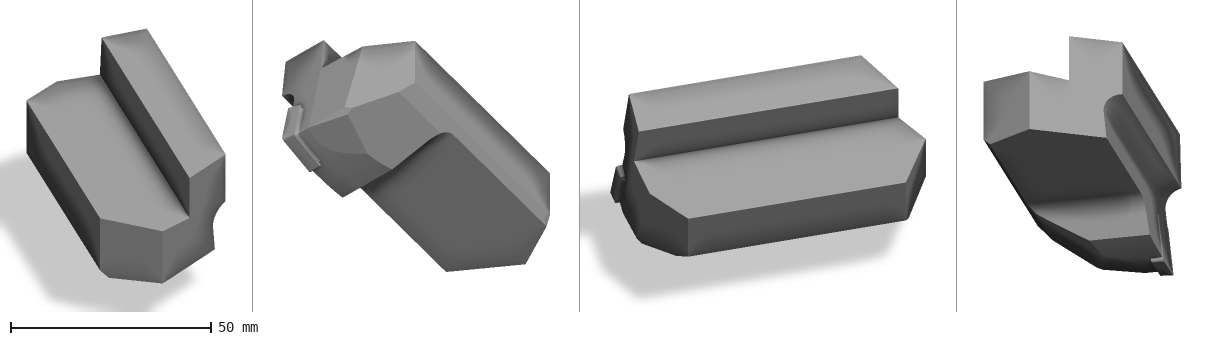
import cadquery as cq
import math


def tan_deg(angle):
    return math.tan(math.radians(angle))


def sin_deg(angle):
    return math.sin(math.radians(angle))


def cos_deg(angle):
    return math.cos(math.radians(angle))



body_depth = 34.67
rail_width = 12.0
rail_height = 12.0
shelf_angle = 8.0
front_face_bottom = -24.55
edge_chamfer = 3.4
underside_angle = 30.0

gullet_radius = 5.0
rake_angle = 5.0
gullet_tangent_y = -4.2
gullet_tangent_z = -19.5

rear_right_x = 59.2
right_tip_y = -20.9
right_end_angle = 30.0
front_left_x = 7.85
left_front_angle = 35.0

left_lean_angle = 6.0
shank_bottom = -26.5
head_bottom = -36.2
head_bottom_x = 9.0
head_bottom_radius = 70.0
head_bottom_slope = 7.0
head_right_x = 22.65
head_wall_angle = 18.0
head_root_radius = 5.0
outline_margin = 10.0

relief_corner = cq.Vector(-3.62, -10.5, -35.07)
shelf_relief_y = -23.95
nose_normal = cq.Vector(-0.675, -0.245, -0.70)
underside_rise_x = -tan_deg(6.8)
underside_rise_y = -tan_deg(6.0)
relief_block = 60.0

insert_side = 12.7
insert_corner_radius = 0.8
insert_thickness = 3.2
insert_clearance = 7.0
insert_step = 0.45
insert_back_thickness = 1.0
insert_back_taper = 40.0
insert_turn = 6.0
insert_swing = 2.2
insert_corner = (-5.49, -3.0, -35.97)
seat_opening = 2.0


def cross_section():
    """Body cross-section in YZ with the gullet cut into its rear, extruded along X."""
    shelf_front_z = -rail_height + (body_depth - rail_width) * tan_deg(shelf_angle)
    slope_start_y = -body_depth + edge_chamfer
    slope_start_z = front_face_bottom - edge_chamfer
    floor_z = head_bottom - outline_margin / 2
    slope_end_y = slope_start_y + (slope_start_z - floor_z) / tan_deg(underside_angle)
    rake_end_y = gullet_tangent_y + (gullet_tangent_z - floor_z) * tan_deg(rake_angle)

    centre_y = gullet_tangent_y + gullet_radius * cos_deg(rake_angle)
    centre_z = gullet_tangent_z + gullet_radius * sin_deg(rake_angle)
    gullet_top_z = centre_z + math.sqrt(gullet_radius**2 - centre_y**2)
    diagonal = gullet_radius * math.sqrt(0.5)

    return (
        cq.Workplane("YZ", origin=(-outline_margin, 0, 0))
        .moveTo(0, 0)
        .lineTo(-rail_width, 0)
        .lineTo(-rail_width, -rail_height)
        .lineTo(-body_depth, shelf_front_z)
        .lineTo(-body_depth, front_face_bottom)
        .lineTo(slope_start_y, slope_start_z)
        .lineTo(slope_end_y, floor_z)
        .lineTo(rake_end_y, floor_z)
        .lineTo(gullet_tangent_y, gullet_tangent_z)
        .threePointArc((centre_y - diagonal, centre_z + diagonal), (0, gullet_top_z))
        .close()
        .extrude(rear_right_x + 3 * outline_margin)
    )


def plan_outline():
    """Outline in XY: pointed right end and slanted front part of the left end."""
    tip_x = rear_right_x - right_tip_y * tan_deg(right_end_angle)
    front_right_x = tip_x - (body_depth + right_tip_y) * tan_deg(right_end_angle)
    slant_end_y = -body_depth + (front_left_x + outline_margin) / tan_deg(left_front_angle)
    return (
        cq.Workplane("XY", origin=(0, 0, head_bottom - outline_margin))
        .polyline([
            (-outline_margin, 0),
            (rear_right_x, 0),
            (tip_x, right_tip_y),
            (front_right_x, -body_depth),
            (front_left_x, -body_depth),
            (-outline_margin, slant_end_y),
        ])
        .close()
        .extrude(outline_margin - head_bottom)
    )


def side_outline():
    """Outline in XZ: leaning left end, crowned head and shank bottom."""
    far_x = rear_right_x + 2 * outline_margin
    lean = tan_deg(left_lean_angle)
    slope = tan_deg(head_bottom_slope)
    crown_centre_z = head_bottom + head_bottom_radius

    crown_left_x = head_bottom_x - head_bottom_radius * sin_deg(head_bottom_slope)
    crown_left_z = crown_centre_z - head_bottom_radius * cos_deg(head_bottom_slope)
    corner_z = (crown_left_z + slope * crown_left_x) / (1 + slope * lean)
    corner_x = lean * corner_z

    wall_x_slope = tan_deg(head_wall_angle)
    wall_normal_offset = (
        (head_right_x - head_bottom_x) * cos_deg(head_wall_angle)
        - (shank_bottom - crown_centre_z) * sin_deg(head_wall_angle)
    )
    along_wall = math.sqrt(head_bottom_radius**2 - wall_normal_offset**2)
    crown_right_z = (
        crown_centre_z
        - wall_normal_offset * sin_deg(head_wall_angle)
        - along_wall * cos_deg(head_wall_angle)
    )
    crown_right_x = head_right_x + (crown_right_z - shank_bottom) * wall_x_slope

    turn = 90 - head_wall_angle
    root_tangent = head_root_radius * tan_deg(turn / 2)
    root_start = (
        head_right_x - root_tangent * sin_deg(head_wall_angle),
        shank_bottom - root_tangent * cos_deg(head_wall_angle),
    )
    root_end = (head_right_x + root_tangent, shank_bottom)
    root_middle = (
        root_end[0] - head_root_radius * sin_deg(turn / 2),
        shank_bottom - head_root_radius * (1 - cos_deg(turn / 2)),
    )

    return (
        cq.Workplane("XZ")
        .moveTo(0, 0)
        .lineTo(corner_x, corner_z)
        .lineTo(crown_left_x, crown_left_z)
        .threePointArc((head_bottom_x, head_bottom), (crown_right_x, crown_right_z))
        .lineTo(*root_start)
        .threePointArc(root_middle, root_end)
        .lineTo(far_x, shank_bottom)
        .lineTo(far_x, 0)
        .close()
        .extrude(body_depth)
    )


def relief_cutter(normal):
    """Block beyond the plane through the relief corner with this outward normal."""
    plane = cq.Plane(origin=relief_corner, normal=normal)
    return cq.Workplane(plane).rect(relief_block, relief_block).extrude(relief_block)


def left_relief_normal():
    """Outward normal of the relief that meets the rail's foot, the shelf edge and the corner."""
    rail_foot = cq.Vector(-rail_height * tan_deg(left_lean_angle), -rail_width, -rail_height)
    shelf_end = cq.Vector(
        front_left_x - (body_depth + shelf_relief_y) * tan_deg(left_front_angle),
        shelf_relief_y,
        -rail_height - (shelf_relief_y + rail_width) * tan_deg(shelf_angle),
    )
    return (relief_corner - rail_foot).cross(shelf_end - rail_foot)


def rounded_square(depth, side, start, taper):
    """Tapered square pad with its lower left corner inset from the insert's nose corner."""
    middle = insert_side / 2
    sketch = cq.Sketch().rect(side, side).vertices().fillet(insert_corner_radius)
    return (
        cq.Workplane("XZ", origin=(middle, -start, middle))
        .placeSketch(sketch)
        .extrude(depth, taper=taper)
    )


def place_insert(shape):
    """Move a shape from the nose corner at the origin into the tilted insert position."""
    return (
        shape.rotate((0, 0, 0), (0, 1, 0), insert_turn)
        .rotate((0, 0, 0), (1, 0, 0), rake_angle)
        .rotate((0, 0, 0), (0, 0, 1), insert_swing)
        .translate(insert_corner)
    )


def make_insert():
    flank_inset = insert_thickness * tan_deg(insert_clearance)
    back_side = insert_side - 2 * (flank_inset + insert_step)
    plate = rounded_square(insert_thickness, insert_side, 0, insert_clearance)
    back = rounded_square(insert_back_thickness, back_side, insert_thickness, insert_back_taper)
    return place_insert(plate.union(back))


def make_body(insert):
    body = cross_section().intersect(plan_outline()).intersect(side_outline())
    underside_normal = cq.Vector(underside_rise_x, underside_rise_y, -1)
    for normal in (left_relief_normal(), nose_normal, underside_normal):
        body = body.cut(relief_cutter(normal))
    opening = place_insert(rounded_square(seat_opening, insert_side, -seat_opening, 0))
    return body.cut(insert).cut(opening)


cutting_insert = make_insert()
cartridge_body = make_body(cutting_insert)

result = cq.Compound.makeCompound([cartridge_body.solids().val(), cutting_insert.solids().val()])